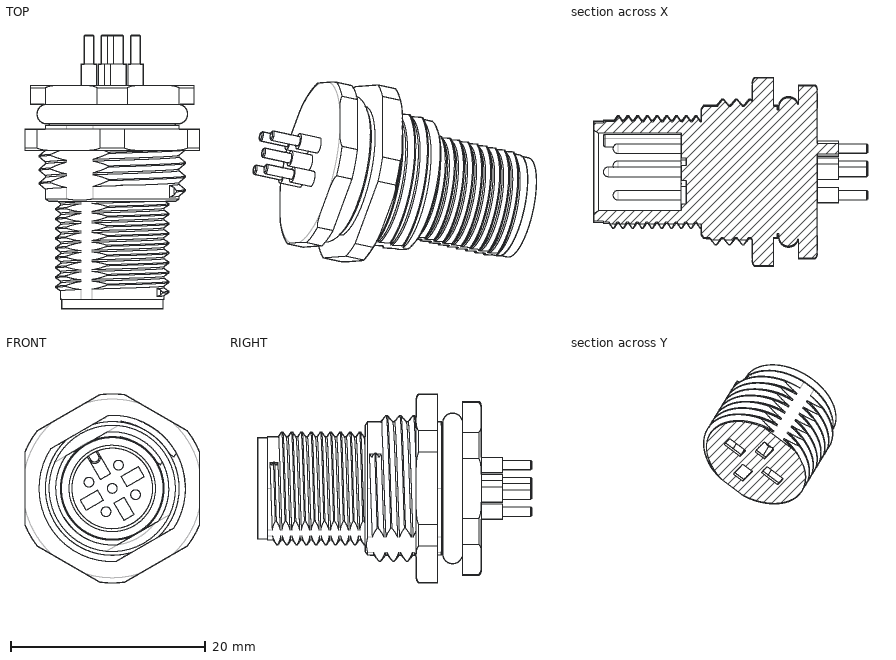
import cadquery as cq
import math


TIP_END = 1.0
NECK_END = 11.06
NUT_FRONT = 16.3
NUT_THICKNESS = 2.2
LAND_END = 18.9
FLANGE_FRONT = 21.05
FLANGE_THICKNESS = 1.95
FLANGE_REAR = FLANGE_FRONT + FLANGE_THICKNESS
OVERALL_LENGTH = 28.2

TIP_RADIUS = 5.23
NECK_RADIUS = 5.33
LAND_RADIUS = 6.88
GROOVE_RADIUS = 6.5
SHOULDER_CHAMFER_LENGTH = 0.25
SHOULDER_CHAMFER_HEIGHT = 0.38

FRONT_THREAD_RADIUS = 5.82
FRONT_THREAD_PITCH = 1.0
FRONT_THREAD_ROOT_WIDTH = 0.96
FRONT_THREAD_START = 1.67
FRONT_THREAD_START_ANGLE = 30
PANEL_THREAD_RADIUS = 7.53
PANEL_THREAD_PITCH = 1.4
PANEL_THREAD_ROOT_WIDTH = 1.38
PANEL_THREAD_START = 12.08
PANEL_THREAD_START_ANGLE = 31
THREAD_CREST = 0.12
THREAD_EMBED = 0.1
THREAD_LEAD = 5
THREAD_RAMP_ANGLE = 25

CUT_TOLERANCE = 1e-4
FLAT_ANGLE = 120
FRONT_FLAT_DISTANCE = 5.29
PANEL_FLAT_DISTANCE = 6.7

NUT_ACROSS_FLATS = 18.0
NUT_CORNER_RADIUS = 9.74
NUT_FACE_RADIUS = 9.2
FLANGE_ACROSS_FLATS = 16.85
FLANGE_CORNER_RADIUS = 8.97
FLANGE_FACE_RADIUS = 8.55
HEX_ROUNDING_LENGTH = 0.25
HEX_ROUNDING_BULGE = 0.06

SEAL_TUBE_RADIUS = 1.02
SEAL_OUTER_RADIUS = 7.76
SEAL_SETBACK = 1.0

SOCKET_RADIUS = 4.15
SOCKET_MOUTH_RADIUS = 4.45
SOCKET_MOUTH_DEPTH = 0.5
SOCKET_DEPTH = 9.0
KEY_TIP_DISTANCE = 3.05
KEY_WIDTH = 1.2
KEY_FRONT = 1.0
KEY_CHAMFER = 0.15
POCKET_INNER = 1.4
POCKET_OUTER = 3.45
POCKET_WIDTH = 1.2
POCKET_DEPTH = 0.5

CONTACT_CIRCLE_RADIUS = 2.48
CONTACT_START_ANGLE = 75
CONTACT_COUNT = 4
CONTACT_RADIUS = 0.5
CONTACT_TIP = 2.0
CENTRE_CONTACT_TIP = 1.0
SOLDER_PIN_RADIUS = 0.5
SOLDER_SLEEVE_RADIUS = 0.8
SOLDER_SLEEVE_END = 25.2
SOLDER_PIN_CHAMFER = 0.12


def polar(radius, angle):
    """X and Z of a point at an angle measured from +X towards +Z."""
    return (radius * math.cos(math.radians(angle)), radius * math.sin(math.radians(angle)))


def cylinder(radius, y_start, y_end, centre=(0, 0)):
    axis_point = cq.Vector(centre[0], y_start, centre[1])
    return cq.Workplane(obj=cq.Solid.makeCylinder(radius, y_end - y_start, axis_point, cq.Vector(0, 1, 0)))


def revolve_about_y(points):
    """Revolve a closed (radius, y) outline about the Y axis."""
    return cq.Workplane("XY").polyline(points).close().revolve(360, (0, 0, 0), (0, 1, 0))


def radial_block(inner, outer, width, y_start, y_end, angle):
    """Box reaching from one radius to another in the direction of the angle."""
    block = cq.Workplane("XY").box(outer - inner, y_end - y_start, width, centered=(False, False, True))
    return block.translate((inner, y_start, 0)).rotate((0, 0, 0), (0, 1, 0), -angle)


def make_core():
    return revolve_about_y([
        (0, 0),
        (TIP_RADIUS, 0),
        (TIP_RADIUS, TIP_END),
        (NECK_RADIUS, TIP_END),
        (NECK_RADIUS, NECK_END),
        (LAND_RADIUS - SHOULDER_CHAMFER_HEIGHT, NECK_END),
        (LAND_RADIUS, NECK_END + SHOULDER_CHAMFER_LENGTH),
        (LAND_RADIUS, LAND_END),
        (GROOVE_RADIUS, LAND_END),
        (GROOVE_RADIUS, FLANGE_FRONT),
        (0, FLANGE_FRONT),
    ])


def make_thread(core_radius, crest_radius, pitch, root_width, start, start_angle, y_end):
    """Right-handed helical ridge, rooted below the core surface, ramping up from the start angle."""
    root_radius = core_radius - THREAD_EMBED
    helix = cq.Wire.makeHelix(pitch, y_end - start, core_radius)
    ridge = (
        cq.Workplane("XZ")
        .polyline([
            (root_radius, -root_width / 2),
            (crest_radius, -THREAD_CREST / 2),
            (crest_radius, THREAD_CREST / 2),
            (root_radius, root_width / 2),
        ])
        .close()
        .sweep(cq.Workplane(obj=helix), isFrenet=True)
    )
    ridge = ridge.rotate((0, 0, 0), (1, 0, 0), -90)
    ridge = ridge.rotate((0, 0, 0), (0, 1, 0), -start_angle - THREAD_LEAD).translate((0, start, 0))
    ramp_distance = core_radius * math.cos(math.radians(THREAD_RAMP_ANGLE))
    ramp = radial_block(
        ramp_distance, 2 * core_radius, core_radius, start - pitch, start + pitch / 2,
        start_angle + THREAD_RAMP_ANGLE,
    )
    return ridge.cut(ramp)


def cut_flats(body, distance, outer, y_start, y_end):
    """Cut the two flats at a distance from the axis, between two stations."""
    near_side = radial_block(distance, outer, 2 * outer, y_start, y_end, FLAT_ANGLE)
    far_side = radial_block(distance, outer, 2 * outer, y_start, y_end, FLAT_ANGLE + 180)
    return body.cut(near_side.union(far_side), clean=False, tol=CUT_TOLERANCE)


def make_threaded_body():
    front_thread = make_thread(
        NECK_RADIUS, FRONT_THREAD_RADIUS, FRONT_THREAD_PITCH, FRONT_THREAD_ROOT_WIDTH,
        FRONT_THREAD_START, FRONT_THREAD_START_ANGLE, NECK_END + FRONT_THREAD_PITCH / 2,
    )
    panel_thread = make_thread(
        LAND_RADIUS, PANEL_THREAD_RADIUS, PANEL_THREAD_PITCH, PANEL_THREAD_ROOT_WIDTH,
        PANEL_THREAD_START, PANEL_THREAD_START_ANGLE, NUT_FRONT + NUT_THICKNESS / 2,
    )
    body = make_core().union(front_thread, clean=False)
    body = cut_flats(body, FRONT_FLAT_DISTANCE, NUT_CORNER_RADIUS, TIP_END, NECK_END)
    body = body.union(panel_thread, clean=False)
    return cut_flats(body, PANEL_FLAT_DISTANCE, NUT_CORNER_RADIUS, NECK_END, FLANGE_FRONT)


def make_hexagon(across_flats, corner_radius, face_radius, thickness):
    """Hexagon from y = 0 to the thickness, flats on +X and -X, corners rounded off at y = 0."""
    corner_diameter = across_flats / math.cos(math.pi / 6)
    prism = cq.Workplane("XZ").polygon(6, corner_diameter).extrude(-thickness)
    prism = prism.rotate((0, 0, 0), (0, 1, 0), 30)
    envelope = (
        cq.Workplane("XY")
        .lineTo(face_radius, 0)
        .sagittaArc((corner_radius, HEX_ROUNDING_LENGTH), -HEX_ROUNDING_BULGE)
        .lineTo(corner_radius, thickness)
        .lineTo(0, thickness)
        .close()
        .revolve(360, (0, 0, 0), (0, 1, 0))
    )
    return prism.intersect(envelope)


def make_nut():
    nut = make_hexagon(NUT_ACROSS_FLATS, NUT_CORNER_RADIUS, NUT_FACE_RADIUS, NUT_THICKNESS)
    return nut.translate((0, NUT_FRONT, 0))


def make_flange():
    flange = make_hexagon(FLANGE_ACROSS_FLATS, FLANGE_CORNER_RADIUS, FLANGE_FACE_RADIUS, FLANGE_THICKNESS)
    return flange.mirror("XZ").translate((0, FLANGE_REAR, 0))


def make_seal():
    ring_radius = SEAL_OUTER_RADIUS - SEAL_TUBE_RADIUS
    tube_centre = (ring_radius, FLANGE_FRONT - SEAL_SETBACK, 0)
    tube_plane = cq.Plane(tube_centre, xDir=(-1, 0, 0), normal=(0, 0, 1))
    tube = cq.Workplane(tube_plane).circle(SEAL_TUBE_RADIUS)
    return tube.revolve(360, (ring_radius, 0, 0), (ring_radius, 1, 0))


def make_key():
    """Coding key on the socket wall with a rounded, chamfered nose towards the axis."""
    nose_radius = KEY_WIDTH / 2
    nose_distance = KEY_TIP_DISTANCE + nose_radius
    wall_middle = (SOCKET_RADIUS + TIP_RADIUS) / 2
    key = radial_block(nose_distance, wall_middle, KEY_WIDTH, KEY_FRONT, SOCKET_DEPTH, FLAT_ANGLE)
    nose = cylinder(nose_radius, KEY_FRONT, SOCKET_DEPTH, polar(nose_distance, FLAT_ANGLE))
    return key.union(nose).faces("<Y").chamfer(KEY_CHAMFER)


def make_socket():
    socket = revolve_about_y([
        (0, 0),
        (SOCKET_MOUTH_RADIUS, 0),
        (SOCKET_RADIUS, SOCKET_MOUTH_DEPTH),
        (SOCKET_RADIUS, SOCKET_DEPTH),
        (0, SOCKET_DEPTH),
    ])
    for index in range(CONTACT_COUNT):
        angle = FLAT_ANGLE + index * 360 / CONTACT_COUNT
        pocket = radial_block(
            POCKET_INNER, POCKET_OUTER, POCKET_WIDTH, SOCKET_DEPTH, SOCKET_DEPTH + POCKET_DEPTH, angle,
        )
        socket = socket.union(pocket)
    return socket


def make_contact(centre, tip):
    """Round-nosed contact in the socket and its stepped solder pin behind the flange."""
    contact = cylinder(CONTACT_RADIUS, tip + CONTACT_RADIUS, FLANGE_FRONT, centre)
    nose = cq.Workplane("XY").sphere(CONTACT_RADIUS).translate((centre[0], tip + CONTACT_RADIUS, centre[1]))
    sleeve = cylinder(SOLDER_SLEEVE_RADIUS, FLANGE_FRONT, SOLDER_SLEEVE_END, centre)
    pin = cylinder(SOLDER_PIN_RADIUS, FLANGE_FRONT, OVERALL_LENGTH, centre)
    pin = pin.faces(">Y").chamfer(SOLDER_PIN_CHAMFER)
    return contact.union(nose).union(sleeve).union(pin)


def make_connector():
    attachments = make_seal().union(make_nut()).union(make_flange())
    contacts = make_contact((0, 0), CENTRE_CONTACT_TIP)
    for index in range(CONTACT_COUNT):
        angle = CONTACT_START_ANGLE + index * 360 / CONTACT_COUNT
        contacts = contacts.union(make_contact(polar(CONTACT_CIRCLE_RADIUS, angle), CONTACT_TIP))
    part = make_threaded_body().union(attachments, clean=False)
    part = part.cut(make_socket(), clean=False)
    return part.union(make_key(), clean=False).union(contacts, clean=False)


result = make_connector()